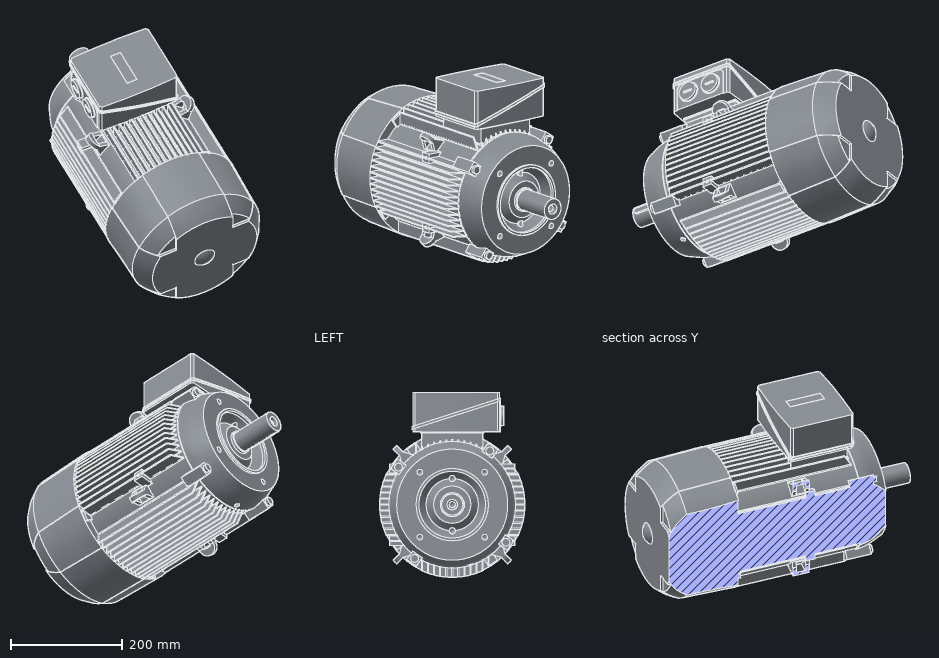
import math
import cadquery as cq


shaft_length = 80.0
shaft_radius = 19.0
key_width = 10.0
key_length = 70.0
key_end_gap = 5.0
key_top = 22.0
key_bottom = 14.0
centre_hole_radius = 5.5
centre_hole_depth = 28.0
countersink_radius = 9.3
countersink_depth = 6.0

flange_radius = 100.0
spigot_radius = 65.0
spigot_height = 3.5
shield_mid_x = 24.0
shield_mid_radius = 109.5
shield_end_x = 51.0
shield_radius = 114.0
mouth_radius = 60.0
mouth_cone_x = 2.5
valley_radius = 47.0
valley_x = 18.0
hub_radius = 33.5
hub_face_x = 5.0
collar_radius = 21.5
flange_hole_circle_radius = 82.5
flange_hole_radius = 5.0
flange_hole_depth = 18.0
drain_radius = 5.5
drain_depth = 8.0
shield_hole_x = 40.5
shield_hole_radius = 4.5
shield_hole_floor = 106.0
shield_hole_angle = 253.0
drill_tip_angle = 118.0

body_radius = 112.0
cowl_start_x = 289.0
fin_pitch = 10.85
fin_thickness = 2.0
fins_each_side = 6
fin_tip_radius = 130.0
fin_start_x = 56.5
fin_full_x = 69.0
fin_root = 85.0

cowl_radius = 131.0
cowl_shoulder_x = 390.5
cowl_shoulder_radius = 128.0
cowl_end_x = 426.0
cowl_end_radius = 105.0
cowl_bulge = 2.0
cowl_corner_offset = 56.5
cowl_corner_depth = 4.6
cowl_corner_inset = 0.8
dome_radius = 20.0
dome_height = 9.0

bolt_circle_radius = 118.0
bolt_angle = 35.0
lug_radial = 20.0
lug_width = 21.0
lug_start_x = 24.0
lug_end_x = 71.0
bolt_head_radius = 7.0
bolt_head_height = 6.0
clip_radial = 20.0
clip_width = 19.0
clip_length = 4.6

eye_x = 166.2
eye_width = 33.0
eye_tip_radius = 146.0
eye_thickness = 9.5
eye_foot_thickness = 27.0
eye_foot_radius = 114.0
eye_neck_radius = 129.0
eye_hole_width = 18.0
eye_hole_top = 131.0
eye_hole_bottom = 115.4
eye_hole_fillet = 3.0

block_start_x = 139.0
block_length = 18.5
block_outer_y = 112.5
block_inner_y = 85.0
block_bottom = 56.5
block_top = 73.5
block_hole_radius = 2.6
block_hole_depth = 8.0

box_centre_x = 115.0
box_end_length = 122.0
box_mid_length = 127.0
box_back_y = 71.0
box_front_y = -85.0
box_bottom = 131.0
box_top = 202.0
box_corner_chamfer = 4.0
rim_back_z = 138.5
rim_front_z = 188.5
rim_height = 5.0
rim_overhang = 1.5
pedestal_length = 110.0
pedestal_half_width = 55.3
pedestal_base = 100.0
gasket_overhang = 1.8
gasket_height = 2.4
plate_length = 67.0
plate_width = 19.5
plate_y = -7.0
plate_depth = 0.5

panel_length = 101.5
panel_top = 185.0
panel_corner_radius = 13.0
panel_height = 1.5
plug_spacing = 48.0
plug_z = 159.7
plug_radius = 19.0
plug_head_radius = 17.7
plug_base_height = 1.0
plug_height = 6.3
plug_slot_length = 17.0
plug_slot_width = 2.5
plug_slot_depth = 1.5


def x_cylinder(radius, x_start, x_end, y=0.0, z=0.0):
    """Cylinder along X."""
    return cq.Workplane("YZ", origin=(x_start, y, z)).circle(radius).extrude(x_end - x_start)


def span_box(x_range, y_range, z_range):
    """Box given by its limits on each axis."""
    size = [high - low for low, high in (x_range, y_range, z_range)]
    corner = (x_range[0], y_range[0], z_range[0])
    return cq.Workplane("XY").box(*size, centered=False).translate(corner)


def revolve_about_x(profile):
    """Turn an (X, radius) profile about the motor axis."""
    return profile.close().revolve(360, (0, 0, 0), (1, 0, 0))


def turn(shape, angle):
    """Rotate about the motor axis; positive angles go from +Y to +Z."""
    return shape.rotate((0, 0, 0), (1, 0, 0), angle)


def drill_tip_length(radius):
    return radius / math.tan(math.radians(drill_tip_angle / 2))


def drilled_hole(radius, x_start, depth, y, z):
    """Cutter for a blind hole along X with a drill-point bottom."""
    profile = (
        cq.Workplane("XY")
        .moveTo(x_start, 0)
        .lineTo(x_start, radius)
        .lineTo(x_start + depth, radius)
        .lineTo(x_start + depth + drill_tip_length(radius), 0)
    )
    return revolve_about_x(profile).translate((0, y, z))


def make_shield():
    profile = (
        cq.Workplane("XY")
        .moveTo(hub_face_x, 0)
        .lineTo(hub_face_x, hub_radius)
        .lineTo(valley_x, valley_radius)
        .lineTo(mouth_cone_x, mouth_radius)
        .lineTo(-spigot_height, mouth_radius)
        .lineTo(-spigot_height, spigot_radius)
        .lineTo(0, spigot_radius)
        .lineTo(0, flange_radius)
        .threePointArc((shield_mid_x, shield_mid_radius), (shield_end_x, shield_radius))
        .lineTo(shield_end_x, 0)
    )
    shield = revolve_about_x(profile)
    bolt_offset = flange_hole_circle_radius / math.sqrt(2)
    for y in (-bolt_offset, bolt_offset):
        for z in (-bolt_offset, bolt_offset):
            shield = shield.cut(drilled_hole(flange_hole_radius, 0, flange_hole_depth, y, z))
    for z in (-valley_radius, valley_radius):
        shield = shield.cut(drilled_hole(drain_radius, 0, valley_x + drain_depth, 0, z))
    side_hole = (
        cq.Workplane("XZ", origin=(shield_hole_x, shield_hole_floor, 0))
        .circle(shield_hole_radius)
        .extrude(shield_hole_floor - shield_radius)
    )
    shield = shield.cut(turn(side_hole, shield_hole_angle))
    return shield


def make_shaft():
    shaft = x_cylinder(shaft_radius, -shaft_length, shield_end_x)
    shaft = shaft.union(x_cylinder(collar_radius, 0, hub_face_x))
    key_centre_x = -shaft_length + key_end_gap + key_length / 2
    key = (
        cq.Workplane("XZ", origin=(key_centre_x, -key_bottom, 0))
        .slot2D(key_length, key_width)
        .extrude(key_top - key_bottom)
    )
    centre_hole = (
        cq.Workplane("XY")
        .moveTo(-shaft_length, 0)
        .lineTo(-shaft_length, countersink_radius)
        .lineTo(-shaft_length + countersink_depth, centre_hole_radius)
        .lineTo(-shaft_length + centre_hole_depth, centre_hole_radius)
        .lineTo(-shaft_length + centre_hole_depth + drill_tip_length(centre_hole_radius), 0)
    )
    return shaft.union(key).cut(revolve_about_x(centre_hole))


def make_fins():
    """Parallel fins on all four sides, trimmed to a round envelope with a bevelled front."""
    reach = cowl_radius
    fins = cq.Workplane("XY")
    for index in range(-fins_each_side, fins_each_side + 1):
        offset = index * fin_pitch
        thickness = (offset - fin_thickness / 2, offset + fin_thickness / 2)
        length = (fin_start_x, cowl_start_x)
        for low, high in ((-reach, -fin_root), (fin_root, reach)):
            fins = fins.add(span_box(length, (low, high), thickness))
            fins = fins.add(span_box(length, thickness, (low, high)))
    fins = fins.combine()
    envelope = (
        cq.Workplane("XY")
        .moveTo(fin_start_x, 0)
        .lineTo(fin_start_x, body_radius)
        .lineTo(fin_full_x, fin_tip_radius)
        .lineTo(cowl_start_x, fin_tip_radius)
        .lineTo(cowl_start_x, 0)
    )
    return fins.intersect(revolve_about_x(envelope))


def cowl_body(inset):
    """Solid of the cowl with its side walls moved in by the inset."""
    start_radius = cowl_radius - inset
    shoulder_radius = cowl_shoulder_radius - inset
    end_radius = cowl_end_radius - inset
    chord_x = cowl_end_x - cowl_shoulder_x
    chord_r = end_radius - shoulder_radius
    chord = math.hypot(chord_x, chord_r)
    bulge_point = (
        (cowl_shoulder_x + cowl_end_x) / 2 - cowl_bulge * chord_r / chord,
        (shoulder_radius + end_radius) / 2 + cowl_bulge * chord_x / chord,
    )
    sphere_radius = (dome_radius**2 + dome_height**2) / (2 * dome_height)
    sphere_x = cowl_end_x + dome_height - sphere_radius
    cap_mid_angle = math.asin(dome_radius / sphere_radius) / 2
    cap_point = (
        sphere_x + sphere_radius * math.cos(cap_mid_angle),
        sphere_radius * math.sin(cap_mid_angle),
    )
    profile = (
        cq.Workplane("XY")
        .moveTo(cowl_start_x, 0)
        .lineTo(cowl_start_x, start_radius)
        .lineTo(cowl_shoulder_x, shoulder_radius)
        .threePointArc(bulge_point, (cowl_end_x, end_radius))
        .lineTo(cowl_end_x, dome_radius)
        .threePointArc(cap_point, (cowl_end_x + dome_height, 0))
    )
    return revolve_about_x(profile)


def make_cowl():
    """Cowl whose four diagonal sectors are slightly sunk, on the wall and on the back."""
    cowl = cowl_body(0)
    inner_cowl = cowl_body(cowl_corner_inset)
    corner_span = (cowl_corner_offset, cowl_radius)
    corner = span_box((cowl_start_x, cowl_end_x), corner_span, corner_span)
    sunk_length = (cowl_start_x, cowl_end_x - cowl_corner_depth)
    sunk_corner = inner_cowl.intersect(span_box(sunk_length, corner_span, corner_span))
    for quarter in range(4):
        cowl = cowl.cut(turn(corner, 90 * quarter))
        cowl = cowl.union(turn(sunk_corner, 90 * quarter))
    return cowl


def radial_block(x_start, x_end, radial, width):
    """Block centred on the bolt circle, lying on +Y."""
    inner = bolt_circle_radius - radial / 2
    return span_box((x_start, x_end), (inner, inner + radial), (-width / 2, width / 2))


def make_lug():
    lug = radial_block(lug_start_x, lug_end_x, lug_radial, lug_width)
    head_start = lug_start_x - bolt_head_height
    return lug.union(x_cylinder(bolt_head_radius, head_start, lug_start_x, bolt_circle_radius))


def make_clip():
    return radial_block(cowl_start_x - clip_length, cowl_start_x, clip_radial, clip_width)


def make_eye():
    """Lifting eye lying on +Y: arched plate with flared feet and an arched window."""
    half_foot = eye_foot_thickness / 2
    half_plate = eye_thickness / 2
    section = (
        cq.Workplane("YZ", origin=(eye_x - eye_width / 2, 0, 0))
        .polyline([
            (fin_root, -half_foot),
            (eye_foot_radius, -half_foot),
            (eye_neck_radius, -half_plate),
            (eye_tip_radius, -half_plate),
            (eye_tip_radius, half_plate),
            (eye_neck_radius, half_plate),
            (eye_foot_radius, half_foot),
            (fin_root, half_foot),
        ])
        .close()
        .extrude(eye_width)
    )
    half_width = eye_width / 2
    arch = (
        cq.Workplane("XY", origin=(eye_x, 0, -half_foot))
        .moveTo(-half_width, fin_root)
        .lineTo(-half_width, eye_tip_radius - half_width)
        .threePointArc((0, eye_tip_radius), (half_width, eye_tip_radius - half_width))
        .lineTo(half_width, fin_root)
        .close()
        .extrude(eye_foot_thickness)
    )
    window_x = (eye_x - eye_hole_width / 2, eye_x + eye_hole_width / 2)
    window = span_box(window_x, (eye_hole_bottom, eye_hole_top), (-half_foot, half_foot))
    window = window.edges(">Y and |Z").fillet(eye_hole_fillet)
    return section.intersect(arch).cut(window)


def make_screw_block():
    """Block on the -Y, +Z corner with a blind hole facing -Y."""
    block = span_box(
        (block_start_x, block_start_x + block_length),
        (-block_outer_y, -block_inner_y),
        (block_bottom, block_top),
    )
    hole_centre = (block_start_x + block_length / 2, -block_outer_y, (block_bottom + block_top) / 2)
    hole = cq.Workplane("XZ", origin=hole_centre).circle(block_hole_radius).extrude(-block_hole_depth)
    return block.cut(hole)


def box_outline(offset):
    """Terminal box plan, grown outwards by an offset: the long sides bow out."""
    half_end = box_end_length / 2 + offset
    half_mid = box_mid_length / 2 + offset
    back = box_back_y + offset
    front = box_front_y - offset
    middle = (back + front) / 2
    return (
        cq.Workplane("XY", origin=(box_centre_x, 0, box_bottom))
        .moveTo(-half_end, back)
        .lineTo(half_end, back)
        .threePointArc((half_mid, middle), (half_end, front))
        .lineTo(-half_end, front)
        .threePointArc((-half_mid, middle), (-half_end, back))
        .close()
        .extrude(box_top - box_bottom)
        .edges("|Z")
        .chamfer(box_corner_chamfer)
    )


def make_rim():
    """Sloping band around the box where lid and base meet."""
    slope = (rim_front_z - rim_back_z) / (box_front_y - box_back_y)
    back = box_back_y + rim_overhang
    front = box_front_y - rim_overhang
    back_z = rim_back_z + slope * rim_overhang
    front_z = rim_front_z - slope * rim_overhang
    half = rim_height / 2
    band = (
        cq.Workplane("YZ", origin=(box_centre_x, 0, 0))
        .polyline([
            (back, back_z - half),
            (front, front_z - half),
            (front, front_z + half),
            (back, back_z + half),
        ])
        .close()
        .extrude(box_mid_length, both=True)
    )
    return box_outline(rim_overhang).intersect(band)


def make_plug(x):
    """Round cable-entry plug with a screwdriver slot, facing -Y."""
    seat_y = box_front_y - panel_height
    base = cq.Workplane("XZ", origin=(x, seat_y, plug_z)).circle(plug_radius).extrude(plug_base_height)
    head = cq.Workplane("XZ", origin=(x, seat_y, plug_z)).circle(plug_head_radius).extrude(plug_height)
    slot = (
        cq.Workplane("XZ", origin=(x, seat_y - plug_height, plug_z))
        .rect(plug_slot_length, plug_slot_width)
        .extrude(-plug_slot_depth)
    )
    return base.union(head).cut(slot)


def make_terminal_box():
    half_pedestal = pedestal_length / 2
    pedestal = span_box(
        (box_centre_x - half_pedestal, box_centre_x + half_pedestal),
        (-pedestal_half_width, pedestal_half_width),
        (pedestal_base, box_bottom),
    )
    half_gasket = half_pedestal + gasket_overhang
    gasket_y = pedestal_half_width + gasket_overhang
    gasket = span_box(
        (box_centre_x - half_gasket, box_centre_x + half_gasket),
        (-gasket_y, gasket_y),
        (box_bottom - gasket_height, box_bottom),
    )
    box = box_outline(0).union(make_rim()).union(pedestal).union(gasket)
    panel = span_box(
        (box_centre_x - panel_length / 2, box_centre_x + panel_length / 2),
        (box_front_y - panel_height, box_front_y),
        (box_bottom, panel_top),
    )
    box = box.union(panel.edges(">Z and |Y").fillet(panel_corner_radius))
    for side in (-1, 1):
        box = box.union(make_plug(box_centre_x + side * plug_spacing / 2))
    name_plate = (
        cq.Workplane("XY", origin=(box_centre_x, plate_y, box_top))
        .rect(plate_length, plate_width)
        .extrude(-plate_depth)
    )
    return box.cut(name_plate)


def make_motor():
    motor = make_shield().union(x_cylinder(body_radius, shield_end_x, cowl_start_x))
    motor = motor.union(make_fins()).union(make_cowl()).union(make_shaft())
    lug, clip, eye = make_lug(), make_clip(), make_eye()
    for quarter in range(4):
        start = 90 * quarter
        motor = motor.union(turn(lug, start + bolt_angle))
        motor = motor.union(turn(clip, start - bolt_angle))
        motor = motor.union(turn(eye, start + 45))
    block = make_screw_block()
    for plane_pair in ((), ("XY",), ("XZ",), ("XY", "XZ")):
        placed = block
        for plane in plane_pair:
            placed = placed.mirror(plane)
        motor = motor.union(placed)
    return motor.union(make_terminal_box())


result = make_motor()